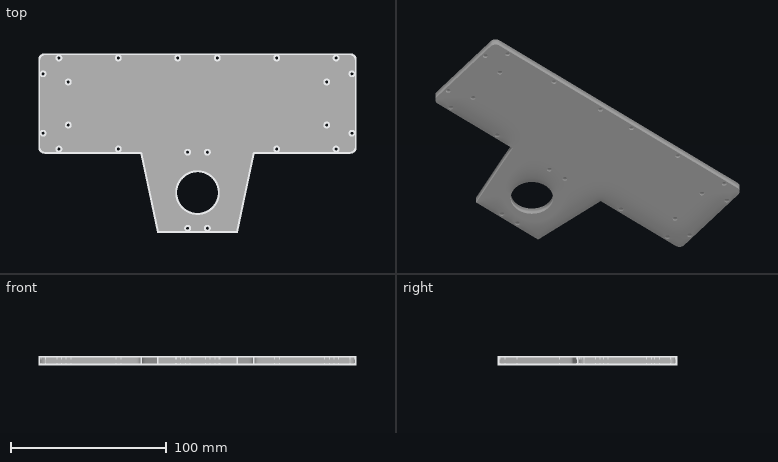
import cadquery as cq

length = 203.2
pitch = length / 8
thickness = 5.0
plate_depth = 2.5 * pitch
tab_depth = 2 * pitch
corner_radius = 3.9

tab_root_half_width = 36.2
tab_tip_half_width = pitch

hole_diameter = 3.0
bore_diameter = 27.2
edge_margin = pitch / 10
inner_hole_x = 83.0
inner_hole_spacing_y = 27.6
tab_hole_x = pitch / 4
tab_hole_spacing_y = 48.8

plate_back = plate_depth / 2
plate_front = -plate_depth / 2
tab_tip = plate_front - tab_depth
bore_y = plate_front - tab_depth / 2


def mirrored(x, y):
    """Return a point and its mirror image across the YZ plane."""
    return [(-x, y), (x, y)]


def make_body():
    plate = (
        cq.Workplane("XY")
        .rect(length, plate_depth)
        .extrude(thickness)
        .edges("|Z")
        .fillet(corner_radius)
    )
    tab = (
        cq.Workplane("XY")
        .moveTo(-tab_root_half_width, plate_front)
        .lineTo(-tab_tip_half_width, tab_tip)
        .lineTo(tab_tip_half_width, tab_tip)
        .lineTo(tab_root_half_width, plate_front)
        .close()
        .extrude(thickness)
    )
    return plate.union(tab)


def small_hole_points():
    points = []
    back_row_y = plate_back - edge_margin
    front_row_y = plate_front + edge_margin

    for x in (2 * pitch, 3.5 * pitch):
        points += mirrored(x, back_row_y)
        points += mirrored(x, front_row_y)
    points += mirrored(pitch / 2, back_row_y)

    for distance_from_back in (pitch / 2, 2 * pitch):
        points += mirrored(length / 2 - edge_margin, plate_back - distance_from_back)

    for y in (-inner_hole_spacing_y / 2, inner_hole_spacing_y / 2):
        points += mirrored(inner_hole_x, y)

    tab_front_row_y = tab_tip + edge_margin
    for y in (tab_front_row_y, tab_front_row_y + tab_hole_spacing_y):
        points += mirrored(tab_hole_x, y)
    return points


def cut_through(body, points, diameter):
    holes = cq.Workplane("XY").pushPoints(points).circle(diameter / 2).extrude(thickness)
    return body.cut(holes)


result = make_body()
result = cut_through(result, small_hole_points(), hole_diameter)
result = cut_through(result, [(0, bore_y)], bore_diameter)